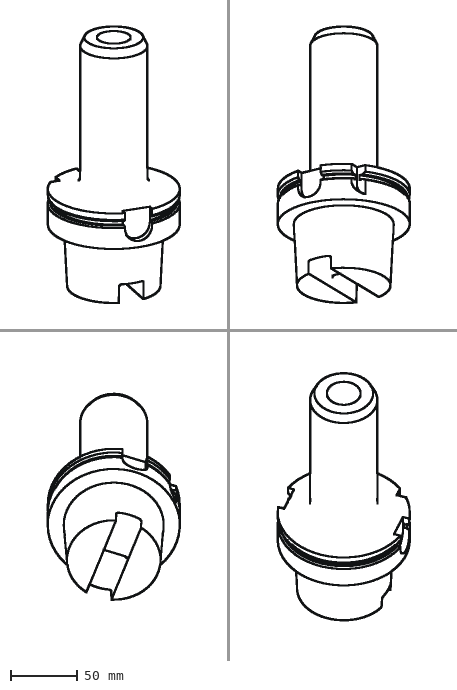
import cadquery as cq

total_height = 202.5
taper_length = 50.0
flange_thickness = 29.0
flange_top = taper_length + flange_thickness

taper_end_radius = 35.5
taper_root_radius = 37.8
flange_radius = 50.0
stem_radius = 25.5
stem_fillet_radius = 10.0
stem_chamfer_width = 3.2
stem_chamfer_height = 6.9

groove_radius = 46.0
groove_shoulder_radius = 48.2
groove_top = flange_top - 5.3
groove_floor_top = groove_top - 1.8
groove_floor_bottom = groove_floor_top - 3.6
groove_bottom = groove_floor_bottom - 1.2

bore_radius = 12.8
bore_depth = 60.7

keyway_bottom = flange_top - 23.9
keyway_floor_x = 44.0
left_keyway_width = 20.0
right_keyway_width = 22.3

notch_corner = 31.4
notch_width = 20.0

drive_slot_width = 20.0
left_drive_slot_depth = 10.3
right_drive_slot_depth = 15.4
drive_slot_fillet = 1.8

outer_reach = flange_radius + 2.0


def turned_body():
    """Taper, grooved flange and stem revolved about Z."""
    fillet_top = flange_top + stem_fillet_radius
    fillet_outer = stem_radius + stem_fillet_radius
    fillet_mid_offset = stem_fillet_radius * (1 - 0.5**0.5)
    return (
        cq.Workplane("XZ")
        .lineTo(taper_end_radius, 0)
        .lineTo(taper_root_radius, taper_length)
        .lineTo(flange_radius, taper_length)
        .lineTo(flange_radius, groove_bottom)
        .lineTo(groove_shoulder_radius, groove_floor_bottom)
        .lineTo(groove_radius, groove_floor_bottom)
        .lineTo(groove_radius, groove_floor_top)
        .lineTo(groove_shoulder_radius, groove_floor_top)
        .lineTo(flange_radius, groove_top)
        .lineTo(flange_radius, flange_top)
        .lineTo(fillet_outer, flange_top)
        .threePointArc(
            (stem_radius + fillet_mid_offset, flange_top + fillet_mid_offset),
            (stem_radius, fillet_top),
        )
        .lineTo(stem_radius, total_height - stem_chamfer_height)
        .lineTo(stem_radius - stem_chamfer_width, total_height)
        .lineTo(0, total_height)
        .close()
        .revolve(360, (0, 0, 0), (0, 1, 0))
    )


def round_bottom_cutter(width, center_y, x_start, x_end):
    """Slot along X, open at the flange top, with a half-round bottom."""
    radius = width / 2
    arc_center_z = keyway_bottom + radius
    return (
        cq.Workplane("YZ", origin=(x_start, 0, 0))
        .moveTo(center_y - radius, flange_top)
        .lineTo(center_y - radius, arc_center_z)
        .threePointArc((center_y, keyway_bottom), (center_y + radius, arc_center_z))
        .lineTo(center_y + radius, flange_top)
        .close()
        .extrude(x_end - x_start)
    )


def drive_slot_cutter(depth, side):
    """Slot from the axis outwards, on the +X (side = 1) or -X (side = -1) half."""
    return (
        cq.Workplane("XY")
        .center(side * outer_reach / 2, 0)
        .rect(outer_reach, drive_slot_width)
        .extrude(depth)
        .edges("|X and >Z")
        .fillet(drive_slot_fillet)
    )


bore = cq.Workplane("XY", origin=(0, 0, total_height)).circle(bore_radius).extrude(-bore_depth)
left_keyway = round_bottom_cutter(left_keyway_width, 0, -outer_reach, -keyway_floor_x)
right_keyway = round_bottom_cutter(right_keyway_width, 0, keyway_floor_x, outer_reach)
notch = round_bottom_cutter(notch_width, -notch_corner - notch_width / 2, -outer_reach, -notch_corner)

result = (
    turned_body()
    .cut(bore)
    .cut(left_keyway)
    .cut(right_keyway)
    .cut(notch)
    .cut(drive_slot_cutter(left_drive_slot_depth, -1))
    .cut(drive_slot_cutter(right_drive_slot_depth, 1))
)